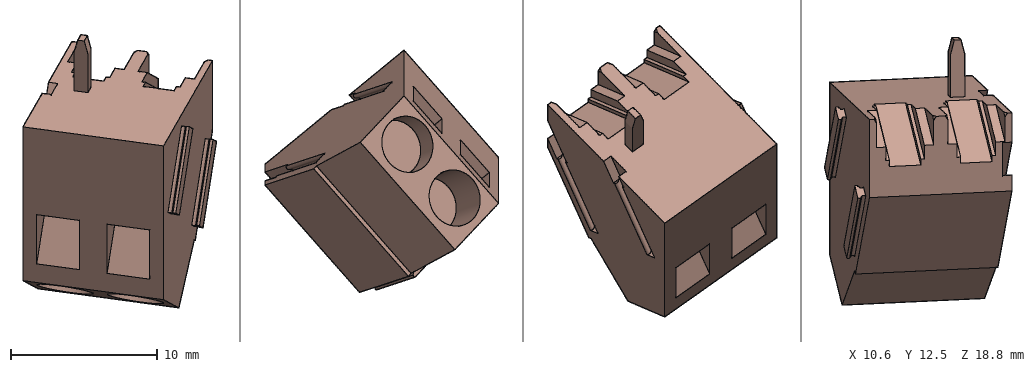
import cadquery as cq
import math

total_height = 18.8
pin_length = 4.0
body_width = 10.0
body_depth = 12.5
body_height = total_height - pin_length

tilt = math.radians(35)
sin_tilt = math.sin(tilt)
cos_tilt = math.cos(tilt)

toe_y = 3.93
front_bottom_z = toe_y * math.tan(tilt)
rear_wall_drop = 5.47
rear_slope_length = 7.65
rear_step = 0.3

pole_pitch = 5.0
pole_centers = [body_width / 2 - pole_pitch / 2, body_width / 2 + pole_pitch / 2]

wire_hole_diameter = 3.9
wire_hole_depths = [1.92, 3.76]
wire_hole_y = 1.82

window_width = 3.03
window_height = 3.85
window_bottom = 4.21

pocket_steps = [(4.0, 2.84), (2.7, 4.2), (2.2, 4.8)]
lead_in_mouth_radius = 2.18
lead_in_depth = 0.23

pin_width = 1.0
pin_tip_width = 0.47
pin_thickness = 0.8
pin_taper = 1.0

track_length = 6.02
track_spacing = 7.39
track_end_y = 1.49
track_end_z = 8.75
rail_reach = 0.58
rail_half_widths = (0.43, 0.35, 0.6)
groove_depth = 0.65
groove_half_widths = (0.5, 0.4, 0.65)
neck_end = 0.45
head_start = 0.65
entry_length = 11.28


def tilted_offset(y, z, along, across):
    """Move a point (y, z) in the tilted directions."""
    return (
        y + along * sin_tilt + across * cos_tilt,
        z + along * cos_tilt - across * sin_tilt,
    )


def housing():
    rear_bottom = (body_depth, body_height - rear_wall_drop)
    slope_end = tilted_offset(*rear_bottom, -rear_slope_length, 0)
    step_end = tilted_offset(*slope_end, 0, -rear_step)
    outline = [
        (0, front_bottom_z),
        (0, body_height),
        (body_depth, body_height),
        rear_bottom,
        slope_end,
        step_end,
        (toe_y, 0),
    ]
    return cq.Workplane("YZ").polyline(outline).close().extrude(body_width)


def solder_pin():
    half_width = pin_width / 2
    half_tip = pin_tip_width / 2
    outline = [
        (-half_width, body_height),
        (-half_width, total_height - pin_taper),
        (-half_tip, total_height),
        (half_tip, total_height),
        (half_width, total_height - pin_taper),
        (half_width, body_height),
    ]
    return (
        cq.Workplane("XZ")
        .polyline(outline)
        .close()
        .extrude(pin_thickness / 2, both=True)
        .translate((pole_centers[0], body_depth / 2, 0))
    )


def wire_hole(x, depth):
    center = (x, wire_hole_y, front_bottom_z - wire_hole_y * math.tan(tilt))
    face = cq.Plane(origin=center, xDir=(1, 0, 0), normal=(0, sin_tilt, cos_tilt))
    return cq.Workplane(face).circle(wire_hole_diameter / 2).extrude(depth)


def window(x):
    top = window_bottom + window_height
    outline = [(0, window_bottom), (0, top), (window_height * math.tan(tilt), top)]
    return (
        cq.Workplane("YZ")
        .polyline(outline)
        .close()
        .extrude(window_width / 2, both=True)
        .translate((x, 0, 0))
    )


def pocket_step(x, width, reach):
    outline = [
        (body_depth - reach, body_height),
        (body_depth, body_height),
        (body_depth, body_height - reach * math.tan(tilt)),
    ]
    return (
        cq.Workplane("YZ")
        .polyline(outline)
        .close()
        .extrude(width / 2, both=True)
        .translate((x, 0, 0))
    )


def lead_in(x):
    """Conical mouth that relieves the upper rear corners of the pocket walls."""
    base_y, base_z = tilted_offset(body_depth, body_height, -lead_in_depth, 0)
    cone = cq.Solid.makeCone(
        pocket_steps[0][0] / 2,
        lead_in_mouth_radius,
        lead_in_depth,
        pnt=cq.Vector(x, base_y, base_z),
        dir=cq.Vector(0, sin_tilt, cos_tilt),
    )
    return cq.Workplane(cone)


def track_plane(x, number, along):
    """Plane square to a track, at a distance along it from its lower end."""
    y, z = tilted_offset(track_end_y, track_end_z, along, number * track_spacing)
    return cq.Plane(origin=(x, y, z), xDir=(1, 0, 0), normal=(0, sin_tilt, cos_tilt))


def dovetail(plane, reach, half_widths):
    root, neck, head = half_widths
    neck_x = reach * neck_end
    head_x = reach * head_start
    crown_x = (head_x + reach) / 2
    edge = (root + neck) / 2
    tip = head - (root - neck) / 2
    return (
        cq.Workplane(plane)
        .moveTo(0, -root)
        .threePointArc((neck_x / 2, -neck), (neck_x, -edge))
        .lineTo(head_x, -tip)
        .threePointArc((crown_x, -head), (reach, -tip))
        .lineTo(reach, tip)
        .threePointArc((crown_x, head), (head_x, tip))
        .lineTo(neck_x, edge)
        .threePointArc((neck_x / 2, neck), (0, root))
        .close()
        .extrude(track_length)
    )


def groove_entry(number):
    undercut = groove_half_widths[2]
    return (
        cq.Workplane(track_plane(0, number, track_length))
        .rect(2 * groove_depth, 2 * undercut)
        .extrude(entry_length)
    )


result = housing()
for pole_x, hole_depth in zip(pole_centers, wire_hole_depths):
    result = result.cut(wire_hole(pole_x, hole_depth)).cut(window(pole_x))
    for step_width, step_reach in pocket_steps:
        result = result.cut(pocket_step(pole_x, step_width, step_reach))
    result = result.cut(lead_in(pole_x))

for track in range(2):
    result = result.cut(dovetail(track_plane(0, track, 0), groove_depth, groove_half_widths))
    result = result.cut(groove_entry(track))
    result = result.union(dovetail(track_plane(body_width, track, 0), rail_reach, rail_half_widths))

result = result.union(solder_pin())